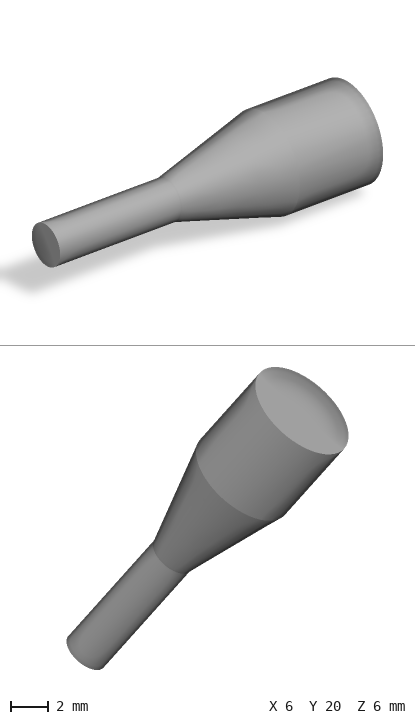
import cadquery as cq

total_length = 20.0
body_diameter = 6.0
body_length = 5.5
pin_diameter = 2.5
pin_length = 8.0

body_radius = body_diameter / 2
pin_radius = pin_diameter / 2

pin_end = -total_length / 2
cone_start = pin_end + pin_length
body_end = total_length / 2
cone_end = body_end - body_length

profile = (
    cq.Workplane("XY")
    .moveTo(0, pin_end)
    .lineTo(pin_radius, pin_end)
    .lineTo(pin_radius, cone_start)
    .lineTo(body_radius, cone_end)
    .lineTo(body_radius, body_end)
    .lineTo(0, body_end)
    .close()
)
result = profile.revolve(360, (0, 0, 0), (0, 1, 0))